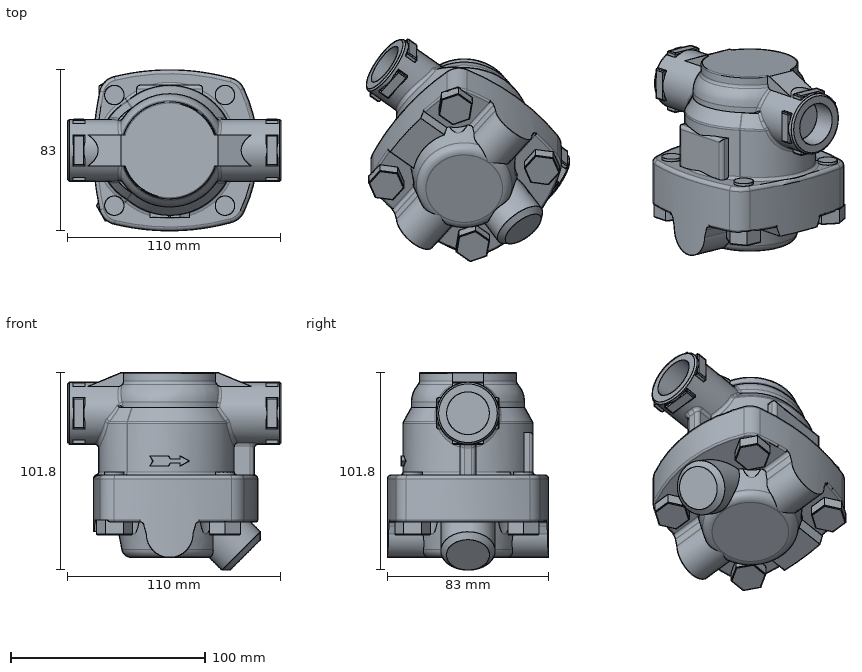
import cadquery as cq
import math


TOP_Z = 20.95
CAP_R = 25.0
CAP_EDGE_ROUND = 0.6
NECK_FILLET = 2.5
DOME_R = 29.2
DOME_ARC_R = 13.3
DOME_SIDE_Z = 5.8
CONE_TOP_Z = 2.9
BODY_R = 33.5
CONE_BASE_Z = -4.8
CONE_INSET = BODY_R - DOME_R
BULGE_X = -7.4
BULGE_R = 29.2
BASE_FILLET = 1.6
BODY_FILLET = 2.0

PIPE_R = 16.0
INLET_X = -52.5
OUTLET_X = 57.5
PIPE_CHAMFER = 0.9
BORE_R = 11.0
BORE_DEPTH = 12.0
PIPE_FILLET = 2.0
PAD_SPAN = 16.1
PAD_LENGTH = 6.2
PAD_INLET_GAP = 2.6
PAD_OUTLET_GAP = 1.7
PAD_CHAMFER = 0.6

GUSSET_HALF_WIDTH = 8.0
GUSSET_REACH = 42.0
GUSSET_END_Z = math.sqrt(PIPE_R**2 - GUSSET_HALF_WIDTH**2)

FLANGE_TOP_Z = -31.8
FLANGE_BOTTOM_Z = -56.0
FLANGE_LEFT_X = -39.3
FLANGE_RIGHT_X = 45.4
FLANGE_HALF_Y = 41.5
LEFT_SIDE_R = 140.0
RIGHT_SIDE_R = 74.0
LONG_SIDE_R = 120.0
FLANGE_CORNER_R = 10.0
FLANGE_TOP_ROUND = 2.0
FLANGE_BOTTOM_ROUND = 1.0

BOLT_OFFSET = 28.5
BOLT_R = 5.0
BOLT_END_Z = -30.4
HEX_ACROSS_FLATS = 16.0
HEX_BOTTOM_Z = -62.7
HEX_CHAMFER = 0.4

BOTTOM_Z = -74.3
BOWL_R = 27.4
BOWL_DRAFT = 11.0
BOWL_ROUND = 5.0
BOLT_CLEARANCE_R = 14.1
BEAM_R = 12.0
BEAM_TOP_HALF = 13.2
BEAM_FLARE = 2.0
TAB_HALF_WIDTH = 12.6
TAB_BOTTOM_Z = -61.0
TAB_FLARE = 2.0

DRAIN_R = 14.0
DRAIN_CHAMFER = 2.9
DRAIN_END = (38.9, 0, -73.0)
DRAIN_LENGTH = 32.0

BLOCK_X = 43.7
BLOCK_HALF_WIDTH = 4.0
BLOCK_ROUND = 2.2

PLATE_HALF_WIDTH = 17.0
PLATE_Y = 33.6
PLATE_TOP_Z = -9.9
PLATE_ROUND = 1.9

ARROW_FACE_Y = -34.5
ARROW_DEPTH = 4.0
ARROW_Z = -24.6
ARROW_HALF_LENGTH = 10.2
ARROW_HALF_HEIGHT = 2.6
ARROW_SHAFT_HALF = 1.1
ARROW_TAIL_END_X = -0.6
ARROW_SHAFT_X = 0.4
ARROW_HEAD_X = 5.4
ARROW_TAIL_NOTCH = 1.6

TOLERANCE = 0.01
BURIED_Z = FLANGE_TOP_Z - FLANGE_TOP_ROUND


def fillet_where(solid, test, size):
    """Round every edge that passes the test."""
    return solid.newObject([e for e in solid.edges().vals() if test(e)]).fillet(size)


def unite(features):
    solid = features[0]
    for feature in features[1:]:
        solid = solid.union(feature)
    return solid


def fillet_ring(solid, radius, z, size):
    """Round the full circular edge of a given radius and height around Z."""
    rings = [
        e for e in solid.edges("%CIRCLE").vals()
        if abs(e.radius() - radius) < TOLERANCE and abs(e.Center().z - z) < TOLERANCE
    ]
    return solid.newObject(rings).fillet(size)


def is_bulge_crease(edge):
    """True for the edges where the inlet bulge runs into the round body wall."""
    rises = abs(edge.positionAt(0).z - edge.positionAt(1).z) > TOLERANCE
    middle = edge.Center()
    beside_pipe = middle.x < 0 and abs(middle.y) > PIPE_R
    return edge.geomType() != "CIRCLE" and rises and beside_pipe


def is_cone_base(edge):
    """True for the edges where the cone meets the upright body wall."""
    return all(abs(edge.positionAt(t).z - CONE_BASE_Z) < TOLERANCE for t in (0, 0.5, 1))


def is_pipe_root(edge):
    """True for the edges where the pipes run into the body, gussets excluded."""
    points = [edge.positionAt(t) for t in (0.1, 0.5, 0.9)]
    middle = edge.Center()
    on_pipe = all(abs(math.hypot(p.y, p.z) - PIPE_R) < TOLERANCE for p in points)
    on_gusset = all(abs(abs(p.y) - GUSSET_HALF_WIDTH) < TOLERANCE for p in points)
    on_gusset_end = middle.z > GUSSET_END_Z and abs(middle.x) > CAP_R + PIPE_FILLET
    inside_ends = abs(middle.x) < BLOCK_X + PIPE_FILLET
    return on_pipe and inside_ends and not on_gusset and not on_gusset_end


def body_profile(radius):
    """Half section from the foot fillet up to the top of the cone."""
    foot_z = FLANGE_TOP_Z + BASE_FILLET
    foot_r = radius + BASE_FILLET
    bend = BASE_FILLET * (1 - math.sqrt(0.5))
    return (
        cq.Workplane("XZ")
        .moveTo(0, BURIED_Z)
        .lineTo(foot_r, BURIED_Z)
        .lineTo(foot_r, FLANGE_TOP_Z)
        .threePointArc((radius + bend, FLANGE_TOP_Z + bend), (radius, foot_z))
        .lineTo(radius, CONE_BASE_Z)
        .lineTo(radius - CONE_INSET, CONE_TOP_Z)
    )


def make_body():
    """Capped and domed round body with a bulge on the inlet side."""
    cap_joint_z = DOME_SIDE_Z + math.sqrt(DOME_ARC_R**2 - (DOME_ARC_R - DOME_R + CAP_R)**2)
    mid_angle = math.asin((cap_joint_z - DOME_SIDE_Z) / DOME_ARC_R) / 2
    mid_point = (
        DOME_R - DOME_ARC_R * (1 - math.cos(mid_angle)),
        DOME_SIDE_Z + DOME_ARC_R * math.sin(mid_angle),
    )
    main = (
        body_profile(BODY_R)
        .lineTo(DOME_R, DOME_SIDE_Z)
        .threePointArc(mid_point, (CAP_R, cap_joint_z))
        .lineTo(CAP_R, TOP_Z)
        .lineTo(0, TOP_Z)
        .close()
        .revolve(360, (0, 0, 0), (0, 1, 0))
        .faces(">Z").edges().fillet(CAP_EDGE_ROUND)
    )
    main = fillet_ring(main, CAP_R, cap_joint_z, NECK_FILLET)
    bulge = (
        body_profile(BULGE_R)
        .lineTo(0, CONE_TOP_Z)
        .close()
        .revolve(360, (0, 0, 0), (0, 1, 0))
        .translate((BULGE_X, 0, 0))
    )
    body = main.union(bulge)
    return fillet_where(body, lambda e: is_bulge_crease(e) or is_cone_base(e), BODY_FILLET)


def make_pipes():
    return (
        cq.Workplane("YZ", origin=(INLET_X, 0, 0))
        .circle(PIPE_R)
        .extrude(OUTLET_X - INLET_X)
        .faces("<X or >X")
        .chamfer(PIPE_CHAMFER)
    )


def make_pads():
    """Four flat grip pads around each pipe end."""
    pads = cq.Workplane("XY")
    inlet_pad_x = INLET_X + PAD_INLET_GAP + PAD_LENGTH / 2
    outlet_pad_x = OUTLET_X - PAD_OUTLET_GAP - PAD_LENGTH / 2
    for x in (inlet_pad_x, outlet_pad_x):
        for angle in (0, 90):
            bar = (
                cq.Workplane("XY")
                .box(PAD_LENGTH, 2 * GUSSET_HALF_WIDTH, 2 * PAD_SPAN)
                .faces("<Z or >Z")
                .chamfer(PAD_CHAMFER)
                .rotate((0, 0, 0), (1, 0, 0), angle)
                .translate((x, 0, 0))
            )
            pads = pads.union(bar)
    return pads


def make_gussets():
    return (
        cq.Workplane("XZ")
        .polyline([
            (-CAP_R, TOP_Z), (CAP_R, TOP_Z),
            (GUSSET_REACH, GUSSET_END_Z), (GUSSET_REACH, 0),
            (-GUSSET_REACH, 0), (-GUSSET_REACH, GUSSET_END_Z),
        ])
        .close()
        .extrude(GUSSET_HALF_WIDTH, both=True)
    )


def outline_prism(z_low, z_high):
    """Flange outline: four bowed sides with rounded corners."""
    height = z_high - z_low

    def disc(radius, x, y):
        return cq.Workplane("XY", origin=(x, y, z_low)).circle(radius).extrude(height)

    return (
        disc(LEFT_SIDE_R, FLANGE_LEFT_X + LEFT_SIDE_R, 0)
        .intersect(disc(RIGHT_SIDE_R, FLANGE_RIGHT_X - RIGHT_SIDE_R, 0))
        .intersect(disc(LONG_SIDE_R, 0, FLANGE_HALF_Y - LONG_SIDE_R))
        .intersect(disc(LONG_SIDE_R, 0, LONG_SIDE_R - FLANGE_HALF_Y))
        .edges("|Z")
        .fillet(FLANGE_CORNER_R)
    )


def make_flange():
    return (
        outline_prism(FLANGE_BOTTOM_Z, FLANGE_TOP_Z)
        .faces(">Z").edges().fillet(FLANGE_TOP_ROUND)
        .faces("<Z").edges().fillet(FLANGE_BOTTOM_ROUND)
    )


def make_bolts():
    """Four bolts with hex heads below the flange and round ends above it."""
    bolts = cq.Workplane("XY")
    for sx in (-1, 1):
        for sy in (-1, 1):
            x, y = sx * BOLT_OFFSET, sy * BOLT_OFFSET
            turn = 0 if sx == sy else 90
            head = (
                cq.Workplane("XY")
                .polygon(6, HEX_ACROSS_FLATS, circumscribed=True)
                .extrude(FLANGE_BOTTOM_Z - HEX_BOTTOM_Z + FLANGE_BOTTOM_ROUND)
                .faces("<Z").chamfer(HEX_CHAMFER)
                .rotate((0, 0, 0), (0, 0, 1), 90 - turn)
                .translate((x, y, HEX_BOTTOM_Z))
            )
            shank = (
                cq.Workplane("XY", origin=(x, y, FLANGE_BOTTOM_Z))
                .circle(BOLT_R)
                .extrude(BOLT_END_Z - FLANGE_BOTTOM_Z)
            )
            bolts = bolts.union(head).union(shank)
    return bolts


def make_bowl():
    """Tapered bowl, relieved around the four bolt heads."""
    clearance = (
        cq.Workplane("XY", origin=(0, 0, BOTTOM_Z))
        .rect(2 * BOLT_OFFSET, 2 * BOLT_OFFSET, forConstruction=True)
        .vertices()
        .circle(BOLT_CLEARANCE_R)
        .extrude(FLANGE_BOTTOM_Z - BOTTOM_Z)
    )
    return (
        cq.Workplane("XY", origin=(0, 0, FLANGE_BOTTOM_Z))
        .circle(BOWL_R)
        .extrude(BOTTOM_Z - FLANGE_BOTTOM_Z, taper=BOWL_DRAFT)
        .faces("<Z").edges().fillet(BOWL_ROUND)
        .cut(clearance)
    )


def make_cross_beam():
    """Round-bottomed beam along Y, flaring into the flange."""
    axis_z = BOTTOM_Z + BEAM_R
    flare_z = FLANGE_BOTTOM_Z - BEAM_FLARE
    bend = BEAM_FLARE * (1 - math.sqrt(0.5))
    roof_z = FLANGE_BOTTOM_Z + FLANGE_BOTTOM_ROUND
    outer = BEAM_TOP_HALF + BEAM_FLARE
    beam = (
        cq.Workplane("XZ")
        .moveTo(-outer, roof_z)
        .lineTo(-outer, FLANGE_BOTTOM_Z)
        .threePointArc((-BEAM_TOP_HALF - bend, FLANGE_BOTTOM_Z - bend), (-BEAM_TOP_HALF, flare_z))
        .lineTo(-BEAM_R, axis_z)
        .threePointArc((0, BOTTOM_Z), (BEAM_R, axis_z))
        .lineTo(BEAM_TOP_HALF, flare_z)
        .threePointArc((BEAM_TOP_HALF + bend, FLANGE_BOTTOM_Z - bend), (outer, FLANGE_BOTTOM_Z))
        .lineTo(outer, roof_z)
        .close()
        .extrude(2 * FLANGE_HALF_Y, both=True)
    )
    return beam.intersect(outline_prism(BOTTOM_Z, roof_z))


def make_tab():
    """Shallow tab under the flange on the inlet side."""
    roof_z = FLANGE_BOTTOM_Z + FLANGE_BOTTOM_ROUND
    outer = TAB_HALF_WIDTH + TAB_FLARE
    tab = (
        cq.Workplane("YZ", origin=(2 * FLANGE_LEFT_X, 0, 0))
        .polyline([
            (-outer, roof_z), (-outer, FLANGE_BOTTOM_Z), (-TAB_HALF_WIDTH, TAB_BOTTOM_Z),
            (TAB_HALF_WIDTH, TAB_BOTTOM_Z), (outer, FLANGE_BOTTOM_Z), (outer, roof_z),
        ])
        .close()
        .extrude(-2 * FLANGE_LEFT_X)
    )
    return tab.intersect(outline_prism(TAB_BOTTOM_Z, roof_z))


def make_drain():
    plane = cq.Plane(origin=DRAIN_END, xDir=(0, 1, 0), normal=(-1, 0, 1))
    return (
        cq.Workplane(plane)
        .circle(DRAIN_R)
        .extrude(DRAIN_LENGTH)
        .faces("<(-1, 0, 1)")
        .chamfer(DRAIN_CHAMFER)
    )


def make_block():
    return (
        cq.Workplane("XY", origin=(0, 0, BURIED_Z))
        .center(BLOCK_X / 2, 0)
        .rect(BLOCK_X, 2 * BLOCK_HALF_WIDTH)
        .extrude(-BURIED_Z)
        .edges("|Z and >X")
        .fillet(BLOCK_ROUND)
    )


def make_plate():
    return (
        cq.Workplane("XY", origin=(0, 0, BURIED_Z))
        .center(0, PLATE_Y / 2)
        .rect(2 * PLATE_HALF_WIDTH, PLATE_Y)
        .extrude(PLATE_TOP_Z - BURIED_Z)
        .edges("(|Z and >Y) or (>Z and >Y)")
        .fillet(PLATE_ROUND)
    )


def make_arrow():
    return (
        cq.Workplane("XZ", origin=(0, ARROW_FACE_Y, ARROW_Z))
        .polyline([
            (-ARROW_HALF_LENGTH, ARROW_HALF_HEIGHT), (ARROW_TAIL_END_X, ARROW_HALF_HEIGHT),
            (ARROW_SHAFT_X, ARROW_SHAFT_HALF), (ARROW_HEAD_X, ARROW_SHAFT_HALF),
            (ARROW_HEAD_X, ARROW_HALF_HEIGHT), (ARROW_HALF_LENGTH, 0),
            (ARROW_HEAD_X, -ARROW_HALF_HEIGHT), (ARROW_HEAD_X, -ARROW_SHAFT_HALF),
            (ARROW_SHAFT_X, -ARROW_SHAFT_HALF), (ARROW_TAIL_END_X, -ARROW_HALF_HEIGHT),
            (-ARROW_HALF_LENGTH, -ARROW_HALF_HEIGHT),
            (-ARROW_HALF_LENGTH + ARROW_TAIL_NOTCH, 0),
        ])
        .close()
        .extrude(-ARROW_DEPTH)
    )


def cut_bores(solid):
    for x, direction in ((INLET_X, 1), (OUTLET_X, -1)):
        bore = cq.Workplane("YZ", origin=(x, 0, 0)).circle(BORE_R).extrude(direction * BORE_DEPTH)
        solid = solid.cut(bore)
    return solid


casting = unite([make_body(), make_block(), make_plate(), make_pipes(), make_gussets()])
casting = fillet_where(casting, is_pipe_root, PIPE_FILLET)
underside = unite([make_bowl(), make_cross_beam(), make_tab(), make_drain()])
result = unite([casting, make_pads(), make_arrow(), make_flange(), make_bolts(), underside])
result = cut_bores(result)